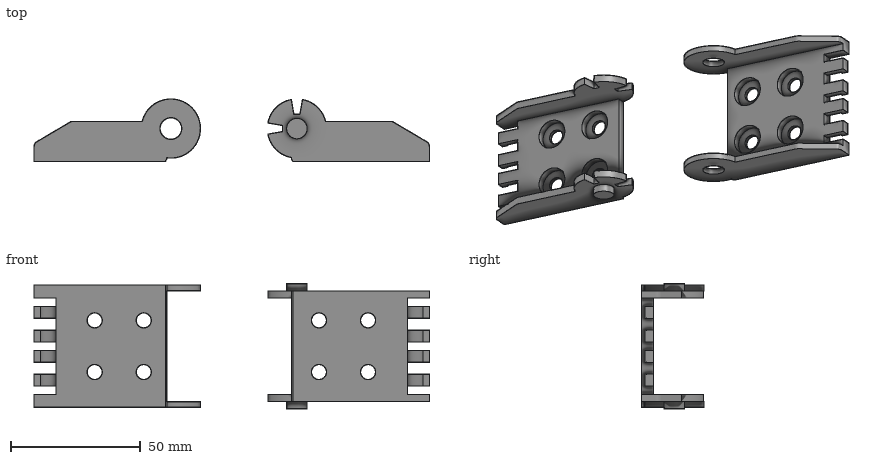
import cadquery as cq


overall_length = 152.4
plate_thickness = 4.7
knuckle_radius = 11.43
axis_height = 12.7
cheek_height = 15.5
end_height = 7.0
ramp_length = 14.4
corner_radius = 2.5

edge_chamfer_length = 0.55
edge_chamfer_depth = 1.0

hole_diameter = 5.7
hole_recess_diameter = 11.4
hole_recess_floor = 1.5
hole_spacing_x = 18.9
hole_spacing_z = 19.9

notch_depth = 8.5
notch_half_width = 18.55
finger_width = 4.6
finger_offsets = (-13.05, -3.9, 3.9, 13.05)
finger_neck_front = 2.0
finger_head_length = 2.5

female_half_width = 23.6
female_cheek_thickness = 2.3
female_axis_x = 52.75
female_plate_length = 51.2
female_hole_start = 23.4
female_finger_front = 0.9
pin_hole_diameter = 8.25

male_half_width = female_half_width - female_cheek_thickness
male_cheek_thickness = male_half_width - notch_half_width
male_axis_x = 51.1
male_plate_length = 53.25
male_hole_start = 23.7
male_finger_front = 1.35
pin_diameter = 7.9
pin_half_length = 24.1

slot_floor_radius = 5.6
slot_floor_width = 2.3
slot_rim_width = 4.3


def cheek(axis_x, thickness, outer_z):
    """One side cheek: ramped strap merging into a round knuckle, lying just below outer_z."""
    strap = (
        cq.Workplane("XY")
        .moveTo(0, 0)
        .lineTo(axis_x - knuckle_radius / 2, 0)
        .lineTo(axis_x, axis_height)
        .lineTo(axis_x, cheek_height)
        .lineTo(ramp_length, cheek_height)
        .lineTo(0, end_height)
        .close()
        .extrude(thickness)
    )
    for corner in ((0, end_height), (ramp_length, cheek_height)):
        edge = cq.selectors.NearestToPointSelector((*corner, thickness / 2))
        strap = strap.edges(edge).fillet(corner_radius)
    knuckle = cq.Workplane("XY").center(axis_x, axis_height).circle(knuckle_radius).extrude(thickness)
    return strap.union(knuckle).translate((0, 0, outer_z - thickness))


def finger(finger_front):
    """One hooked finger, centred on Z = 0, with its tip at X = 0."""
    return (
        cq.Workplane("XY")
        .moveTo(0, finger_front)
        .lineTo(finger_head_length, finger_front)
        .lineTo(finger_head_length, finger_neck_front)
        .lineTo(notch_depth, finger_neck_front)
        .lineTo(notch_depth, plate_thickness)
        .lineTo(0, plate_thickness)
        .close()
        .extrude(finger_width / 2, both=True)
    )


def plate(length, half_width, hole_start, finger_front):
    """Base plate with its chamfered knuckle-side end, notched free end, fingers and screw holes."""
    body = (
        cq.Workplane("XY")
        .moveTo(0, 0)
        .lineTo(length - edge_chamfer_length, 0)
        .lineTo(length, edge_chamfer_depth)
        .lineTo(length, plate_thickness)
        .lineTo(0, plate_thickness)
        .close()
        .extrude(half_width, both=True)
    )
    notch = cq.Workplane("XY").box(2 * notch_depth, 2 * plate_thickness, 2 * notch_half_width)
    body = body.cut(notch)
    for diameter, start_y in ((hole_diameter, 0), (hole_recess_diameter, hole_recess_floor)):
        holes = (
            cq.Workplane("XZ", origin=(hole_start + hole_spacing_x / 2, start_y, 0))
            .rarray(hole_spacing_x, hole_spacing_z, 2, 2)
            .circle(diameter / 2)
            .extrude(start_y - plate_thickness)
        )
        body = body.cut(holes)
    for offset in finger_offsets:
        body = body.union(finger(finger_front).translate((0, 0, offset)))
    return body


def leaf(plate_length, half_width, cheek_thickness, axis_x, hole_start, finger_front):
    """A plate with a cheek along each long side, free end at X = 0."""
    body = plate(plate_length, half_width, hole_start, finger_front)
    for outer_z in (half_width, cheek_thickness - half_width):
        body = body.union(cheek(axis_x, cheek_thickness, outer_z))
    return body


def knuckle_slot(angle):
    """Cutter for a tapered slot that opens radially outwards at the given angle about Z."""
    return (
        cq.Workplane("XY")
        .moveTo(slot_floor_radius, -slot_floor_width / 2)
        .lineTo(knuckle_radius, -slot_rim_width / 2)
        .lineTo(knuckle_radius, slot_rim_width / 2)
        .lineTo(slot_floor_radius, slot_floor_width / 2)
        .close()
        .extrude(male_half_width, both=True)
        .rotate((0, 0, 0), (0, 0, 1), angle)
        .translate((male_axis_x, axis_height, 0))
    )


def make_female_leaf():
    body = leaf(
        female_plate_length,
        female_half_width,
        female_cheek_thickness,
        female_axis_x,
        female_hole_start,
        female_finger_front,
    )
    pin_hole = (
        cq.Workplane("XY")
        .center(female_axis_x, axis_height)
        .circle(pin_hole_diameter / 2)
        .extrude(female_half_width, both=True)
    )
    return body.cut(pin_hole)


def make_male_leaf():
    body = leaf(
        male_plate_length,
        male_half_width,
        male_cheek_thickness,
        male_axis_x,
        male_hole_start,
        male_finger_front,
    )
    for angle in (0, 90):
        body = body.cut(knuckle_slot(angle))
    pin_length = pin_half_length - male_half_width
    for start_z in (male_half_width, -pin_half_length):
        pin = (
            cq.Workplane("XY", origin=(male_axis_x, axis_height, start_z))
            .circle(pin_diameter / 2)
            .extrude(pin_length)
        )
        body = body.union(pin)
    return body.mirror("YZ").translate((overall_length, 0, 0))


female_leaf = make_female_leaf()
male_leaf = make_male_leaf()

result = cq.Compound.makeCompound([female_leaf.val(), male_leaf.val()])